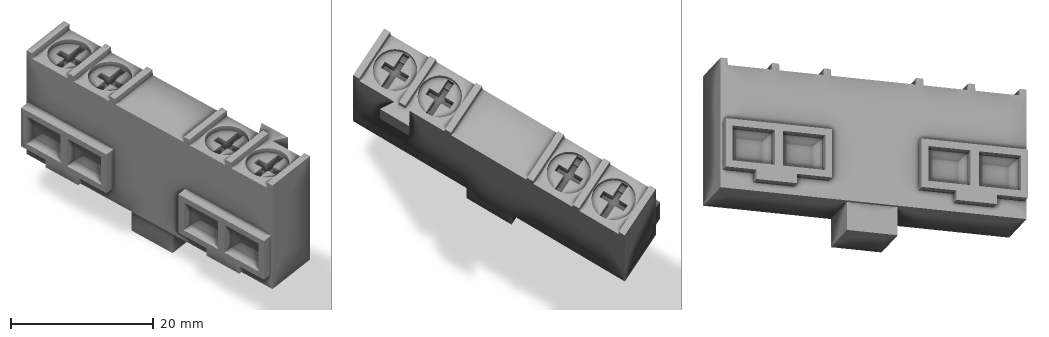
import cadquery as cq

length = 45.0
depth = 8.2
height = 19.3

rib_height = 1.0
rib_crest_width = 1.0
rib_foot_width = 1.15
rib_pitch = 7.6
deck_z = height - rib_height
end_rib_x = (length - rib_crest_width) / 2
rib_places = [side * (end_rib_x - i * rib_pitch) for side in (-1, 1) for i in range(3)]

pair_x = end_rib_x - rib_pitch
terminal_pitch = 7.42
pair_places = (-pair_x, pair_x)
terminal_places = [x + side * terminal_pitch / 2 for x in pair_places for side in (-1, 1)]

screw_rear_distance = 4.05
screw_y = depth - screw_rear_distance
screw_diameter = 6.2
well_depth = 0.8
cross_arm_length = 4.05
cross_arm_width = 1.1
cross_depth = 1.7
slot_length = 6.05
slot_depth = 1.2
screw_head_z = deck_z - well_depth

frame_length = 15.6
frame_height = 7.2
frame_thickness = 1.55
frame_bottom_z = 2.6
frame_center_z = frame_bottom_z + frame_height / 2
lip_length = 6.0
lip_drop = 1.4
lip_shift = 0.3

entry_length = 6.2
entry_height = 5.18
funnel_depth = 0.68
floor_length = 3.85
floor_height = 3.0

foot_length = 7.45
foot_depth = 7.6
foot_drop = 4.2

dovetail_root = 2.5
dovetail_tip = 4.8
dovetail_depth = 2.0
dovetail_height = 4.05


def block(size, corner):
    """Box with its lowest corner at the given point."""
    return cq.Workplane("XY").box(*size, centered=False).translate(corner)


def rib(x):
    """Full-depth partition tapering from foot to crest."""
    crest = rib_crest_width / 2
    foot = rib_foot_width / 2
    return (
        cq.Workplane("XZ")
        .polyline([(x - foot, deck_z), (x + foot, deck_z), (x + crest, height), (x - crest, height)])
        .close()
        .extrude(-depth)
    )


def housing():
    """Block with its ribs; the feet of the end ribs are trimmed flush with the end faces."""
    body = block((length, depth, deck_z), (-length / 2, 0, 0))
    for x in rib_places:
        body = body.union(rib(x))
    return body.intersect(block((length, depth, height), (-length / 2, 0, 0)))


def terminal_frame(pair_center):
    """Frame on the front face; its lip is offset away from the middle of the part."""
    outward = 1 if pair_center > 0 else -1
    lip_center = pair_center + outward * lip_shift
    frame = block(
        (frame_length, frame_thickness, frame_height),
        (pair_center - frame_length / 2, -frame_thickness, frame_bottom_z),
    )
    lip = block(
        (lip_length, frame_thickness, lip_drop),
        (lip_center - lip_length / 2, -frame_thickness, frame_bottom_z - lip_drop),
    )
    return frame.union(lip)


def wire_entry(x):
    mouth = block(
        (entry_length, frame_thickness, entry_height),
        (x - entry_length / 2, -frame_thickness, frame_center_z - entry_height / 2),
    )
    funnel = (
        cq.Workplane("XZ")
        .center(x, frame_center_z)
        .rect(entry_length, entry_height)
        .workplane(offset=-funnel_depth)
        .rect(floor_length, floor_height)
        .loft(ruled=True)
    )
    return mouth.union(funnel)


def screw_recess(x):
    """Round well down to the screw head, plus the cross and the long slot in the head."""
    head = cq.Workplane("XY", origin=(x, screw_y, screw_head_z))
    well = head.circle(screw_diameter / 2).extrude(well_depth)
    cross = (
        head.rect(cross_arm_length, cross_arm_width).extrude(-cross_depth)
        .union(head.rect(cross_arm_width, cross_arm_length).extrude(-cross_depth))
    )
    slot = head.rect(cross_arm_width, slot_length).extrude(-slot_depth)
    return well.union(cross).union(slot)


def foot():
    return block(
        (foot_length, foot_depth, foot_drop),
        (-foot_length / 2, depth - foot_depth, -foot_drop),
    )


def dovetail():
    """Wedge behind the right-hand pair, widening away from the housing."""
    return (
        cq.Workplane("XY", origin=(pair_x, depth, deck_z))
        .polyline([
            (-dovetail_root / 2, 0),
            (dovetail_root / 2, 0),
            (dovetail_tip / 2, dovetail_depth),
            (-dovetail_tip / 2, dovetail_depth),
        ])
        .close()
        .extrude(-dovetail_height)
    )


result = housing().union(foot()).union(dovetail())
for pair_center in pair_places:
    result = result.union(terminal_frame(pair_center))
for terminal_x in terminal_places:
    result = result.cut(wire_entry(terminal_x)).cut(screw_recess(terminal_x))